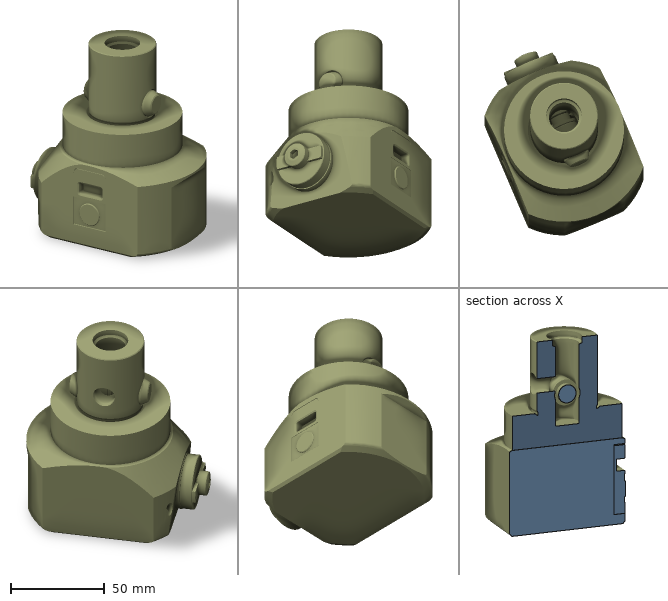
import cadquery as cq
import math

overall_height = 107.2
clearance = 1.1

housing_radius = 45.0
flat_half_width = 33.3
rim_height = 42.2
collar_seat_height = 48.2
steep_cone_top = (33.5, 47.6)
steep_cone_bottom = (45.0, 31.3)
front_face_x_at_base = -36.5
front_face_tilt = 6.2
rear_flat_x = 41.6
rear_flat_top = 38.6
rim_underside_height = 41.2
base_edge_top = 3.5
base_cone_top = 1.7
base_cone_top_radius = 44.0
base_radius = 40.7
flat_base_chamfer = 1.4

collar_radius = 32.0
collar_top = 67.3
shank_radius = 18.1
shank_top_chamfer = 0.4
relief_top = 68.5
relief_root_radius = 17.6
relief_depth = 1.3
relief_mouth_radius = 19.3
bore_radius = 8.0
bore_bottom = 59.0
counterbore_radius = 9.5
counterbore_depth = 3.2
counterbore_cone = 0.8
locating_hole_radius = 5.9
locating_hole_height = 82.5

pin_radius = 7.2
pin_height = 76.1
pin_end_x = 21.4
pin_face_radius = 4.7
pin_tip_radius = 5.4
pin_tip_chamfer = 0.4
pin_cone_start = 17.7
pin_end_chamfer = 0.4
pin_groove_outer_x = 6.1
pin_groove_inner_x = 1.9
pin_groove_radius = 5.1
pin_mouth_radius = 8.0
pin_mouth_depth = 1.5

dial_height = 20.6
dial_radius = 14.8
dial_front_x = -47.3
dial_back_x = -40.7
dial_chamfer = 0.3
dial_bar_height = 7.2
dial_bar_front_x = -49.1
dial_bar_end_radius = 14.3
boss_radius = 15.1
boss_root_x = -35.4
screw_front_x = -53.9
screw_crown_depth = 0.6
screw_crown_radius = 3.9
screw_crown_edge_radius = 6.2
screw_edge_chamfer = 0.3
screw_head_radius = 6.5
screw_head_back_x = -48.2
screw_neck_radius = 3.8
screw_end_x = -30.0
socket_sides = 6
socket_across_flats = 4.9
socket_depth = 2.7
socket_tip_depth = 1.3

panel_center_x = 0.1
panel_width = 19.9
panel_bottom = 5.9
panel_top = 44.3
panel_corner_radius = 2.6
panel_thickness = 6.4
panel_top_gap = 0.3
keypad_bottom = 11.7
keypad_top = 27.8
keypad_recess = 0.2
keypad_ledge = 0.3
window_center_x = 0.5
window_center_z = 33.1
window_width = 16.3
window_height = 7.9
window_corner_radius = 1.9
window_bevel = 0.8
window_bevel_depth = 0.4
window_depth = 4.8
button_height = 19.4
button_radius = 6.3
button_edge = 0.4
button_rise = 0.4

nozzle_radius = 2.6
nozzle_height = 19.1
nozzle_azimuth = 34.0
nozzle_elevation = 50.0
nozzle_depth = 5.4


def turned_about_z(points, angle=360):
    """Revolve a (radius, height) outline about Z."""
    return cq.Workplane("XZ").polyline(points).close().revolve(angle, (0, 0, 0), (0, 1, 0))


def turned_about_x(points, height):
    """Revolve an (x, radius) outline about an axis along X at the given height."""
    outline = cq.Workplane("XZ").polyline(points).close()
    return outline.revolve(360, (0, 0, 0), (1, 0, 0)).translate((0, 0, height))


def rod_along_x(x_start, x_end, radius, height):
    disc = cq.Workplane("YZ", origin=(x_start, 0, height)).circle(radius)
    return disc.extrude(x_end - x_start)


def prism_along_y(points):
    """Extrude an (x, z) outline through the full width of the housing."""
    return cq.Workplane("XZ").polyline(points).close().extrude(housing_radius + clearance, both=True)


def panel_block(top, depth):
    """Rounded upright block that reaches from the -Y flat inward by depth."""
    height = top - panel_bottom
    plane = cq.Workplane("XZ", origin=(panel_center_x, -flat_half_width, panel_bottom + height / 2))
    return plane.rect(panel_width, height).extrude(-depth).edges("|Y").fillet(panel_corner_radius)


def housing_blank():
    """Round body with a shallow top cone and a rounded, tapered base edge."""
    outline = (
        cq.Workplane("XZ")
        .moveTo(0, 0)
        .lineTo(base_radius, 0)
        .lineTo(base_cone_top_radius, base_cone_top)
        .tangentArcPoint((housing_radius, base_edge_top), relative=False)
        .lineTo(housing_radius, rim_height)
        .lineTo(collar_radius, collar_seat_height)
        .lineTo(0, collar_seat_height)
        .close()
    )
    return outline.revolve(360, (0, 0, 0), (0, 1, 0))


def side_slab():
    """Space between the two side flats, with chamfered lower edges."""
    slab = cq.Workplane("XY").box(
        2 * housing_radius + clearance, 2 * flat_half_width, collar_seat_height, centered=(True, True, False)
    )
    return slab.faces("<Z").edges("|X").chamfer(flat_base_chamfer)


def steep_cone_cutter():
    """Half ring that leaves the steep cone on the -X half of the housing."""
    slope = (steep_cone_top[1] - steep_cone_bottom[1]) / (steep_cone_bottom[0] - steep_cone_top[0])
    inner = steep_cone_top[0] - clearance
    outer = steep_cone_bottom[0] + clearance
    upper = steep_cone_top[1] + slope * clearance
    lower = steep_cone_bottom[1] - slope * clearance
    half_ring = turned_about_z([(inner, upper), (outer, lower), (outer, upper)], 180)
    return half_ring.rotate((0, 0, 0), (0, 0, 1), 90)


def tilted_face_cutter():
    lean = math.tan(math.radians(front_face_tilt)) * collar_seat_height
    far_x = -housing_radius - clearance
    return prism_along_y([
        (front_face_x_at_base, 0),
        (front_face_x_at_base - lean, collar_seat_height),
        (far_x, collar_seat_height),
        (far_x, 0),
    ])


def rear_flat_cutter():
    """Flat on the +X side that runs up into a sloping underside below the rim."""
    return prism_along_y([
        (rear_flat_x, 0),
        (rear_flat_x, rear_flat_top),
        (housing_radius, rim_underside_height),
        (housing_radius + clearance, rim_underside_height),
        (housing_radius + clearance, 0),
    ])


def nozzle_cutter():
    azimuth = math.radians(nozzle_azimuth)
    elevation = math.radians(nozzle_elevation)
    outward = cq.Vector(
        -math.cos(azimuth) * math.cos(elevation),
        math.sin(azimuth) * math.cos(elevation),
        math.sin(elevation),
    )
    mouth = cq.Vector(-housing_radius * math.cos(azimuth), housing_radius * math.sin(azimuth), nozzle_height)
    return cq.Workplane(cq.Solid.makeCylinder(
        nozzle_radius, 2 * nozzle_depth, mouth - outward * nozzle_depth, outward
    ))


def make_housing():
    body = housing_blank().intersect(side_slab())
    body = body.cut(steep_cone_cutter()).cut(tilted_face_cutter()).cut(rear_flat_cutter())
    body = body.union(rod_along_x(dial_back_x, boss_root_x, boss_radius, dial_height))
    body = body.cut(rod_along_x(dial_back_x, screw_end_x, screw_neck_radius, dial_height))
    body = body.cut(panel_block(panel_top + panel_top_gap, panel_thickness))
    return body.cut(nozzle_cutter())


def make_spindle():
    counterbore_bottom = overall_height - counterbore_depth
    relief_bottom = collar_top - relief_depth
    body = turned_about_z([
        (0, collar_seat_height),
        (collar_radius, collar_seat_height),
        (collar_radius, collar_top),
        (relief_mouth_radius, collar_top),
        (relief_root_radius, relief_bottom),
        (relief_root_radius, collar_top),
        (shank_radius, relief_top),
        (shank_radius, overall_height - shank_top_chamfer),
        (shank_radius - shank_top_chamfer, overall_height),
        (counterbore_radius, overall_height),
        (counterbore_radius, counterbore_bottom),
        (bore_radius, counterbore_bottom - counterbore_cone),
        (bore_radius, bore_bottom),
        (0, bore_bottom),
    ])
    body = body.cut(rod_along_x(-pin_end_x, pin_end_x, pin_radius, pin_height))
    mouth_inner_x = shank_radius - pin_mouth_depth
    mouth = turned_about_x([
        (mouth_inner_x, 0),
        (mouth_inner_x, pin_radius),
        (shank_radius, pin_mouth_radius),
        (shank_radius, 0),
    ], pin_height)
    body = body.cut(mouth).cut(mouth.mirror("YZ"))
    locating_hole = (
        cq.Workplane("XZ", origin=(0, 0, locating_hole_height))
        .circle(locating_hole_radius)
        .extrude(-shank_radius - clearance)
    )
    return body.cut(locating_hole)


PIN_TIP = [
    (pin_cone_start, pin_radius),
    (pin_end_x - pin_tip_chamfer, pin_tip_radius),
    (pin_end_x, pin_face_radius),
    (pin_end_x, 0),
]
PIN_INNER_END = [
    (0, 0),
    (0, pin_radius - pin_end_chamfer),
    (pin_end_chamfer, pin_radius),
]


def make_plain_pin():
    return turned_about_x(PIN_INNER_END + PIN_TIP, pin_height)


def make_grooved_pin():
    """Mirror image of the plain pin with a deep groove near its inner end."""
    groove = [
        (pin_groove_inner_x, pin_radius),
        (pin_groove_inner_x, pin_groove_radius),
        (pin_groove_outer_x, pin_groove_radius),
        (pin_groove_outer_x, pin_radius - pin_end_chamfer),
        (pin_groove_outer_x + pin_end_chamfer, pin_radius),
    ]
    return turned_about_x(PIN_INNER_END + groove + PIN_TIP, pin_height).mirror("YZ")


def make_dial():
    """Round dial with a raised grip bar that is interrupted around the screw head."""
    disc = rod_along_x(dial_front_x, dial_back_x, dial_radius, dial_height).edges().chamfer(dial_chamfer)
    bar_depth = dial_front_x - dial_bar_front_x
    bar_space = cq.Workplane("XY").box(bar_depth, 2 * dial_radius, dial_bar_height, centered=(False, True, True))
    bar = (
        rod_along_x(dial_bar_front_x, dial_front_x, dial_bar_end_radius, dial_height)
        .intersect(bar_space.translate((dial_bar_front_x, 0, dial_height)))
        .cut(rod_along_x(dial_bar_front_x, dial_front_x, screw_head_radius, dial_height))
    )
    return disc.union(bar).cut(rod_along_x(dial_front_x, dial_back_x, screw_neck_radius, dial_height))


def make_dial_screw():
    crown_back_x = screw_front_x + screw_crown_depth
    body = turned_about_x([
        (screw_front_x, 0),
        (screw_front_x, screw_crown_radius),
        (crown_back_x, screw_crown_edge_radius),
        (crown_back_x + screw_edge_chamfer, screw_head_radius),
        (screw_head_back_x, screw_head_radius),
        (screw_head_back_x, screw_neck_radius),
        (screw_end_x, screw_neck_radius),
        (screw_end_x, 0),
    ], dial_height)
    corner_diameter = socket_across_flats / math.cos(math.pi / socket_sides)
    socket = (
        cq.Workplane("YZ", origin=(screw_front_x, 0, dial_height))
        .transformed(rotate=(0, 0, 90))
        .polygon(socket_sides, corner_diameter)
        .extrude(socket_depth)
    )
    tip_x = screw_front_x + socket_depth + socket_tip_depth
    drill_point = turned_about_x([
        (screw_front_x + socket_depth, 0),
        (screw_front_x + socket_depth, socket_across_flats / 2),
        (tip_x, 0),
    ], dial_height)
    return body.cut(socket).cut(drill_point)


def window_cutter():
    """Deep display window with a bevelled frame."""
    def opening(shrink):
        plane = cq.Workplane("XZ", origin=(window_center_x, -flat_half_width, window_center_z))
        shape = cq.Sketch().rect(window_width - 2 * shrink, window_height - 2 * shrink)
        return plane.placeSketch(shape.vertices().fillet(window_corner_radius - shrink))

    bevel_angle = math.degrees(math.atan2(window_bevel, window_bevel_depth))
    well = opening(window_bevel).extrude(-window_depth)
    frame = opening(0).extrude(-window_bevel_depth, taper=bevel_angle)
    return well.union(frame)


def keypad_cutter():
    """Slightly sunken band across the panel, with a narrow sloping ledge at its lower end."""
    half_width = panel_width / 2 + clearance
    return (
        cq.Workplane("YZ", origin=(panel_center_x - half_width, 0, 0))
        .polyline([
            (-flat_half_width, keypad_bottom),
            (-flat_half_width + keypad_recess, keypad_bottom + keypad_ledge),
            (-flat_half_width + keypad_recess, keypad_top),
            (-flat_half_width, keypad_top),
        ])
        .close()
        .extrude(2 * half_width)
    )


def make_panel():
    body = panel_block(panel_top, panel_thickness).cut(window_cutter()).cut(keypad_cutter())
    button = (
        cq.Workplane("XZ", origin=(panel_center_x, -flat_half_width + keypad_recess, button_height))
        .circle(button_radius)
        .extrude(keypad_recess + button_rise)
        .faces("<Y")
        .chamfer(button_edge)
    )
    return body.union(button)


housing = make_housing()
spindle = make_spindle()
plain_pin = make_plain_pin()
grooved_pin = make_grooved_pin()
dial = make_dial()
dial_screw = make_dial_screw()
panel = make_panel()

result = cq.Compound.makeCompound([
    housing.val(),
    spindle.val(),
    plain_pin.val(),
    grooved_pin.val(),
    dial.val(),
    dial_screw.val(),
    panel.val(),
])